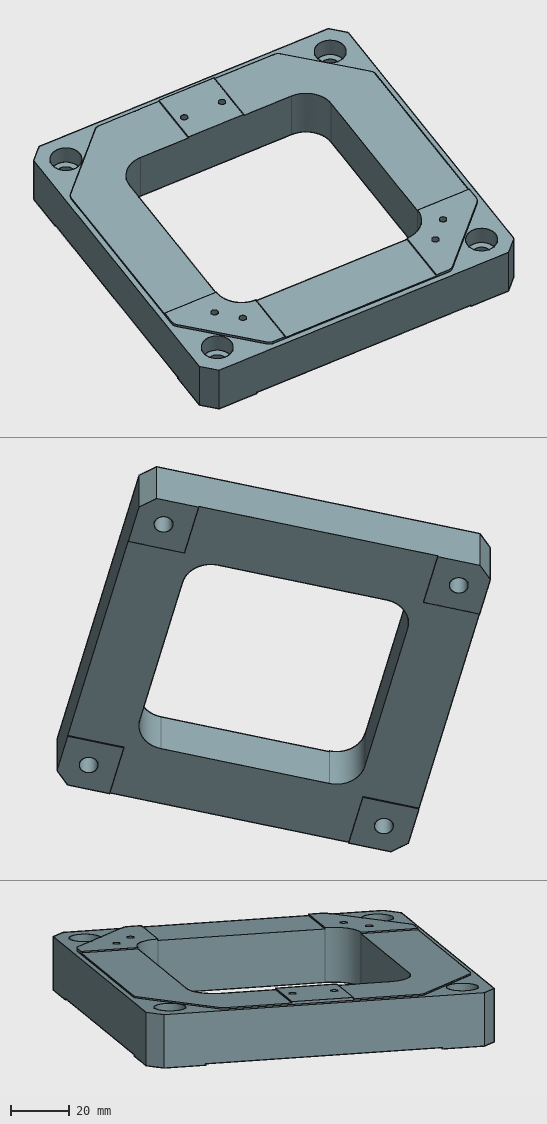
import cadquery as cq
import math

SIDE = 125.0
HEIGHT = 20.0
STEP = 0.5
CORNER_CHAMFER = 5.0

WINDOW = 80.0
WINDOW_RADIUS = 10.0

BAND_SIDE = 121.0
BAND_CHAMFER = 24.5
BAND_CORNER_RADIUS = 3.0

LEFT_PAD_WIDTH = 22.0
CORNER_PAD_START = WINDOW / 2 - WINDOW_RADIUS

PAD_HOLE_DIAMETER = 2.5
PAD_HOLE_DEPTH = 10.0
DRILL_TIP_ANGLE = 118.0
LEFT_HOLE_X = -49.0
LEFT_HOLE_SPACING = 15.0
CORNER_HOLE_NEAR = 38.3
CORNER_HOLE_FAR = 45.4

MOUNT_SPACING = 105.0
MOUNT_DIAMETER = 6.5
COUNTERBORE_DIAMETER = 11.0
COUNTERBORE_DEPTH = 7.0

CHANNEL_WIDTH = 85.0

band_top = HEIGHT - STEP
plate_top = band_top - STEP


def box_from(x_min, x_max, y_min, y_max, z_min, z_max):
    """Box given by its limits along each axis."""
    size = (x_max - x_min, y_max - y_min, z_max - z_min)
    return cq.Workplane("XY").box(*size, centered=False).translate((x_min, y_min, z_min))


def octagonal_block(z_min, z_max):
    """Square block with large chamfered corners, rounded where they meet the sides."""
    return (
        cq.Workplane("XY", origin=(0, 0, z_min))
        .rect(BAND_SIDE, BAND_SIDE)
        .extrude(z_max - z_min)
        .edges("|Z")
        .chamfer(BAND_CHAMFER)
        .edges("|Z")
        .fillet(BAND_CORNER_RADIUS)
    )


def pads():
    """One pad in the middle of the -X side and one on each +X corner."""
    reach = BAND_SIDE / 2
    half_width = LEFT_PAD_WIDTH / 2
    areas = box_from(-reach, -WINDOW / 2, -half_width, half_width, band_top, HEIGHT)
    for y_min, y_max in ((-reach, -CORNER_PAD_START), (CORNER_PAD_START, reach)):
        areas = areas.union(box_from(CORNER_PAD_START, reach, y_min, y_max, band_top, HEIGHT))
    return octagonal_block(band_top, HEIGHT).intersect(areas)


def window():
    return (
        cq.Workplane("XY")
        .rect(WINDOW, WINDOW)
        .extrude(HEIGHT)
        .edges("|Z")
        .fillet(WINDOW_RADIUS)
    )


def drilled_hole():
    """Cutter with a conical tip, standing on the Z axis with its mouth at the pad surface."""
    radius = PAD_HOLE_DIAMETER / 2
    tip_height = radius / math.tan(math.radians(DRILL_TIP_ANGLE / 2))
    cone_top = HEIGHT - PAD_HOLE_DEPTH
    profile = [(0, HEIGHT), (radius, HEIGHT), (radius, cone_top), (0, cone_top - tip_height)]
    return cq.Workplane("XZ").polyline(profile).close().revolve(360, (0, 0, 0), (0, 1, 0))


def pad_holes():
    """Blind holes, two in each pad; the corner pairs run parallel to the band chamfers."""
    points = []
    for side in (-1, 1):
        points.append((LEFT_HOLE_X, side * LEFT_HOLE_SPACING / 2))
        points.append((CORNER_HOLE_NEAR, side * CORNER_HOLE_FAR))
        points.append((CORNER_HOLE_FAR, side * CORNER_HOLE_NEAR))
    cutter = drilled_hole().val()
    return cq.Workplane("XY").pushPoints(points).eachpoint(lambda place: cutter.moved(place))


def mounting_holes():
    layout = cq.Workplane("XY").rect(MOUNT_SPACING, MOUNT_SPACING, forConstruction=True).vertices()
    through = layout.circle(MOUNT_DIAMETER / 2).extrude(HEIGHT)
    counterbores = (
        layout.circle(COUNTERBORE_DIAMETER / 2)
        .extrude(HEIGHT)
        .translate((0, 0, plate_top - COUNTERBORE_DEPTH))
    )
    return through.union(counterbores)


def bottom_channels():
    """Two shallow crossing channels, one along X and one along Y."""
    half_side = SIDE / 2
    half_width = CHANNEL_WIDTH / 2
    along_x = box_from(-half_side, half_side, -half_width, half_width, 0, STEP)
    along_y = box_from(-half_width, half_width, -half_side, half_side, 0, STEP)
    return along_x.union(along_y)


plate = (
    cq.Workplane("XY")
    .rect(SIDE, SIDE)
    .extrude(plate_top)
    .edges("|Z")
    .chamfer(CORNER_CHAMFER)
)

result = (
    plate.union(octagonal_block(plate_top, band_top))
    .union(pads())
    .cut(window())
    .cut(pad_holes())
    .cut(mounting_holes())
    .cut(bottom_channels())
)